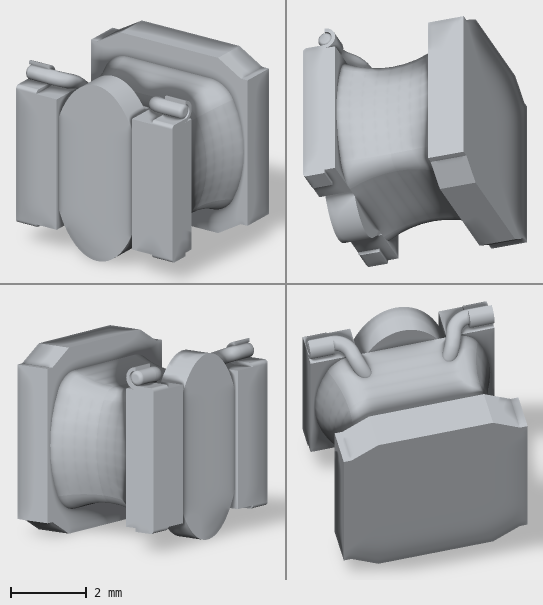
import cadquery as cq
import math

OVERALL = 5.0
HALF = OVERALL / 2
OVERALL_DEPTH = 4.5
LEFT, RIGHT = -1, 1
FRONT, REAR = -1, 1

SHEET = 0.1
FRONT_FLANGE_DEPTH = 0.8
REAR_FLANGE_DEPTH = 1.0
WINDING_LENGTH = OVERALL_DEPTH - SHEET - FRONT_FLANGE_DEPTH - REAR_FLANGE_DEPTH

TERMINAL_FACE_Y = -OVERALL_DEPTH / 2
FRONT_FLANGE_FACE_Y = TERMINAL_FACE_Y + SHEET
WINDING_FRONT_Y = FRONT_FLANGE_FACE_Y + FRONT_FLANGE_DEPTH
WINDING_MIDDLE_Y = WINDING_FRONT_Y + WINDING_LENGTH / 2
REAR_FLANGE_FACE_Y = WINDING_FRONT_Y + WINDING_LENGTH

REAR_SIDE_HALF_HEIGHT = 2.075
TRAPEZOID_BASE_HALF_WIDTH = 2.29
TRAPEZOID_TIP_HALF_WIDTH = 1.56

ELLIPSE_HALF_WIDTH = 1.415
BLOCK_WIDTH = 1.3
BLOCK_INNER_X = HALF - BLOCK_WIDTH
BLOCK_HALF_HEIGHT = 1.86

WINDING_END_HALF_HEIGHT = 1.86
WINDING_END_HALF_WIDTH = 2.385
WINDING_FLAT_HALF_WIDTH = 1.32
WINDING_END_CORNER_RADIUS = 0.81
WAIST_SAG = 0.3
GROOVE_MARGIN = 0.05

TAB_WIDTH = 0.65
TAB_INNER_X = HALF - TAB_WIDTH
WIRE_RADIUS = 0.2
HOOK_RADIUS = WIRE_RADIUS + SHEET
HOOK_Y = WINDING_FRONT_Y - HOOK_RADIUS
HOOK_Z = BLOCK_HALF_HEIGHT + HOOK_RADIUS
WIRE_TIP_FILLET = 0.1
LEAD_BEND = (1.38, -1.315, 2.015)
LEAD_END = (1.08, -0.865, 1.45)


def box(x_range, y_range, z_range):
    """Box between two limits on each axis."""
    lows, highs = zip(x_range, y_range, z_range)
    sizes = [high - low for low, high in zip(lows, highs)]
    return cq.Workplane("XY").box(*sizes, centered=False).translate(lows)


def facing_back(start_y):
    """XZ workplane at start_y; a negative extrusion on it runs towards +Y."""
    return cq.Workplane("XZ", origin=(0, start_y, 0))


def make_rear_flange():
    upper_right = [
        (HALF, REAR_SIDE_HALF_HEIGHT),
        (TRAPEZOID_BASE_HALF_WIDTH, REAR_SIDE_HALF_HEIGHT),
        (TRAPEZOID_TIP_HALF_WIDTH, HALF),
    ]
    upper_left = [(-x, z) for x, z in reversed(upper_right)]
    upper = upper_right + upper_left
    lower = [(x, -z) for x, z in reversed(upper)]
    return facing_back(REAR_FLANGE_FACE_Y).polyline(upper + lower).close().extrude(-REAR_FLANGE_DEPTH)


def make_front_flange():
    disc = facing_back(FRONT_FLANGE_FACE_Y).ellipse(ELLIPSE_HALF_WIDTH, HALF).extrude(-FRONT_FLANGE_DEPTH)
    between_blocks = box(
        (-BLOCK_INNER_X, BLOCK_INNER_X),
        (FRONT_FLANGE_FACE_Y, WINDING_FRONT_Y),
        (-HALF, HALF),
    )
    return disc.intersect(between_blocks)


def winding_outline(workplane):
    """End outline of the winding: flats, corner arcs and side arcs, all tangent."""
    corner_z = WINDING_END_HALF_HEIGHT - WINDING_END_CORNER_RADIUS
    reach = WINDING_END_HALF_WIDTH - WINDING_FLAT_HALF_WIDTH
    gap = reach - WINDING_END_CORNER_RADIUS
    center_distance = (corner_z ** 2 + gap ** 2) / (2 * gap)
    join_angle = math.asin(corner_z / center_distance)
    mid_angle = (join_angle + math.pi / 2) / 2

    def corner_point(angle, side, end):
        x = WINDING_FLAT_HALF_WIDTH + WINDING_END_CORNER_RADIUS * math.cos(angle)
        z = corner_z + WINDING_END_CORNER_RADIUS * math.sin(angle)
        return (side * x, end * z)

    flat_x, flat_z = WINDING_FLAT_HALF_WIDTH, WINDING_END_HALF_HEIGHT
    return (
        workplane.moveTo(0, flat_z)
        .lineTo(flat_x, flat_z)
        .threePointArc(corner_point(mid_angle, 1, 1), corner_point(join_angle, 1, 1))
        .threePointArc((WINDING_END_HALF_WIDTH, 0), corner_point(join_angle, 1, -1))
        .threePointArc(corner_point(mid_angle, 1, -1), (flat_x, -flat_z))
        .lineTo(-flat_x, -flat_z)
        .threePointArc(corner_point(mid_angle, -1, -1), corner_point(join_angle, -1, -1))
        .threePointArc((-WINDING_END_HALF_WIDTH, 0), corner_point(join_angle, -1, 1))
        .threePointArc(corner_point(mid_angle, -1, 1), (-flat_x, flat_z))
        .close()
    )


def make_winding_half(end):
    """Half of the winding, from its waist to its front or rear end."""
    half_length = WINDING_LENGTH / 2
    end_y = WINDING_MIDDLE_Y + end * half_length
    prism = winding_outline(facing_back(end_y)).extrude(end * half_length)

    waist_radius = (half_length ** 2 + WAIST_SAG ** 2) / (2 * WAIST_SAG)
    mid_y = half_length / 2
    mid_rise = waist_radius - math.sqrt(waist_radius ** 2 - mid_y ** 2)
    waist_z = WINDING_END_HALF_HEIGHT - WAIST_SAG
    outside_z = WINDING_END_HALF_HEIGHT + GROOVE_MARGIN
    groove_profile = (
        cq.Workplane("YZ")
        .moveTo(WINDING_MIDDLE_Y, waist_z)
        .threePointArc(
            (WINDING_MIDDLE_Y + end * mid_y, waist_z + mid_rise),
            (end_y, WINDING_END_HALF_HEIGHT),
        )
        .lineTo(end_y, outside_z)
        .lineTo(WINDING_MIDDLE_Y, outside_z)
        .close()
    )
    groove = groove_profile.sweep(winding_outline(facing_back(end_y)))
    return prism.cut(groove)


def mirror_to(side, body):
    """Body built on the right, moved to the given side."""
    return body if side == RIGHT else body.mirror("YZ")


def make_block(side):
    block = box(
        (BLOCK_INNER_X, HALF),
        (FRONT_FLANGE_FACE_Y, WINDING_FRONT_Y),
        (-BLOCK_HALF_HEIGHT, BLOCK_HALF_HEIGHT),
    )
    return mirror_to(side, block)


def make_terminal(side):
    """Sheet metal face plate with a bottom tab and a top tab rolled into a hook."""
    plate = box(
        (BLOCK_INNER_X, HALF),
        (TERMINAL_FACE_Y, FRONT_FLANGE_FACE_Y),
        (-BLOCK_HALF_HEIGHT, BLOCK_HALF_HEIGHT),
    )
    tab_half_height = BLOCK_HALF_HEIGHT + SHEET
    bent_strip = (
        box((TAB_INNER_X, HALF), (TERMINAL_FACE_Y, HOOK_Y), (-tab_half_height, tab_half_height))
        .edges("|X and <Y")
        .fillet(SHEET)
    )
    block_space = box(
        (TAB_INNER_X, HALF),
        (FRONT_FLANGE_FACE_Y, HOOK_Y),
        (-BLOCK_HALF_HEIGHT, BLOCK_HALF_HEIGHT),
    )
    hook = (
        cq.Workplane("YZ", origin=(TAB_INNER_X, 0, 0))
        .moveTo(HOOK_Y, HOOK_Z - HOOK_RADIUS)
        .threePointArc((HOOK_Y + HOOK_RADIUS, HOOK_Z), (HOOK_Y, HOOK_Z + HOOK_RADIUS))
        .lineTo(HOOK_Y, HOOK_Z + WIRE_RADIUS)
        .threePointArc((HOOK_Y + WIRE_RADIUS, HOOK_Z), (HOOK_Y, HOOK_Z - WIRE_RADIUS))
        .close()
        .extrude(TAB_WIDTH)
    )
    terminal = plate.union(bent_strip.cut(block_space)).union(hook)
    return mirror_to(side, terminal)


def make_wire(side, block, winding):
    """Round wire from the hook, bending back over the block edge and down onto the winding."""
    tip = cq.Vector(HALF, HOOK_Y, HOOK_Z)
    hook_exit = cq.Vector(TAB_INNER_X, HOOK_Y, HOOK_Z)
    straight = cq.Edge.makeLine(tip, hook_exit)
    bend = cq.Edge.makeTangentArc(hook_exit, straight.tangentAt(1), cq.Vector(*LEAD_BEND))
    lead = cq.Edge.makeTangentArc(bend.endPoint(), bend.tangentAt(1), cq.Vector(*LEAD_END))
    path = cq.Workplane(cq.Wire.assembleEdges([straight, bend, lead]))
    wire = (
        cq.Workplane("YZ", origin=tip.toTuple())
        .circle(WIRE_RADIUS)
        .sweep(path)
        .faces(">X")
        .edges()
        .fillet(WIRE_TIP_FILLET)
    )
    return mirror_to(side, wire).cut(winding).cut(block)


rear_flange = make_rear_flange()
front_flange = make_front_flange()
winding_halves = [make_winding_half(end) for end in (FRONT, REAR)]
blocks = [make_block(side) for side in (LEFT, RIGHT)]
terminals = [make_terminal(side) for side in (LEFT, RIGHT)]
front_winding = winding_halves[0]
wires = [make_wire(side, block, front_winding) for side, block in zip((LEFT, RIGHT), blocks)]

bodies = [rear_flange, front_flange, *winding_halves, *blocks, *terminals, *wires]
result = cq.Compound.makeCompound([body.solids().val() for body in bodies])